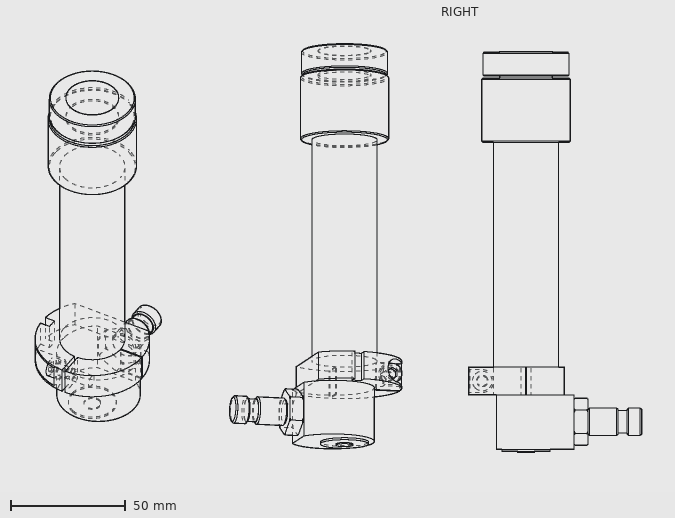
import cadquery as cq
import math

total_height = 174.6
foot_step = 0.5
drum_bottom = 1.4
clamp_bottom = 25.1
clamp_height = 12.0
clamp_top = clamp_bottom + clamp_height
housing_bottom = 135.1
housing_top = 163.0
cap_bottom = 164.0
disc_rise = 0.2
cap_top = total_height - disc_rise

tube_diameter = 28.5
housing_diameter = 38.5
cap_diameter = 37.5
neck_diameter = 23.0
head_chamfer = 0.5
foot_diameter = 21.0
foot_boss_diameter = 7.3

drum_diameter = 36.5
drum_offset = 5.4
drum_flat_y = 21.0

clamp_diameter = 50.0
clamp_radius = clamp_diameter / 2
clamp_flat_y = 16.8
front_slit_width = 1.5
side_slit_width = 0.5
hinge_slot_width = 4.2
hinge_slot_end = -20.3

screw_y = -19.0
screw_z = clamp_bottom + clamp_height / 2
screw_pocket_width = 10.0
screw_seat_x = -5.0
screw_head_diameter = 8.5
screw_head_length = 4.7
screw_shank_diameter = 5.0
screw_end_x = 10.5
socket_flats = 4.2
socket_depth = 2.6

connector_z = 13.5
hex_flats = 17.8
hex_chamfer = 0.5
hex_end_y = 27.0
plug_diameter = 12.0
plug_groove_diameter = 10.0
plug_chamfer = 0.7
groove_start_y = 40.2
groove_end_y = 44.0
connector_end_y = 50.5


def hex_corners(flats):
    """Corner-to-corner size of a hexagon."""
    return flats / math.cos(math.pi / 6)


def upright_cylinder(diameter, bottom, top, y=0.0):
    return cq.Workplane("XY", origin=(0, y, bottom)).circle(diameter / 2).extrude(top - bottom)


def x_cylinder(diameter, start_x, end_x):
    """Cylinder on the screw axis."""
    plane = cq.Workplane("YZ", origin=(start_x, screw_y, screw_z))
    return plane.circle(diameter / 2).extrude(end_x - start_x)


def y_cylinder(diameter, start_y, end_y):
    """Cylinder on the connector axis."""
    plane = cq.Workplane("XZ", origin=(0, start_y, connector_z))
    return plane.circle(diameter / 2).extrude(start_y - end_y)


def box_between(x_range, y_range, z_range):
    sides = [high - low for low, high in (x_range, y_range, z_range)]
    corner = (x_range[0], y_range[0], z_range[0])
    return cq.Workplane("XY").box(*sides, centered=False).translate(corner)


def make_column():
    """Tube with its upper housing and the cap on a narrow neck."""
    tube = upright_cylinder(tube_diameter, clamp_bottom, housing_top)
    housing = upright_cylinder(housing_diameter, housing_bottom, housing_top).edges().chamfer(head_chamfer)
    cap = upright_cylinder(cap_diameter, cap_bottom, cap_top).edges().chamfer(head_chamfer)
    neck = upright_cylinder(neck_diameter, housing_bottom, total_height)
    return tube.union(housing).union(neck).union(cap)


def make_drum():
    """Eccentric drum with a flat for the connector and a stepped foot below."""
    drum = upright_cylinder(drum_diameter, drum_bottom, clamp_bottom, drum_offset)
    beyond_flat = box_between(
        (-drum_diameter, drum_diameter), (drum_flat_y, drum_flat_y + drum_diameter), (0, clamp_bottom)
    )
    foot = upright_cylinder(foot_diameter, foot_step, drum_bottom)
    foot_boss = upright_cylinder(foot_boss_diameter, 0, drum_bottom)
    return drum.cut(beyond_flat).union(foot).union(foot_boss)


def make_connector():
    """Hexagon nut and grooved plug."""
    nut_length = hex_end_y - drum_flat_y
    nut = (
        cq.Workplane("XZ", origin=(0, drum_flat_y, connector_z))
        .polygon(6, hex_corners(hex_flats))
        .extrude(-nut_length)
        .rotate((0, 0, connector_z), (0, 1, connector_z), 30)
    )
    rounding = y_cylinder(hex_corners(hex_flats), drum_flat_y, hex_end_y).edges().chamfer(hex_chamfer)
    nut = nut.intersect(rounding)
    core = y_cylinder(plug_groove_diameter, drum_flat_y, connector_end_y)
    shank = y_cylinder(plug_diameter, hex_end_y, groove_start_y).edges().chamfer(plug_chamfer)
    tip = y_cylinder(plug_diameter, groove_end_y, connector_end_y).edges().chamfer(plug_chamfer)
    return nut.union(core).union(shank).union(tip)


def make_clamp():
    """Flat-backed ring, slit on two sides, slotted on the third and pocketed for its screw."""
    heights = (clamp_bottom, clamp_top)
    ring = upright_cylinder(clamp_diameter, *heights)
    beyond_flat = box_between((-clamp_radius, clamp_radius), (clamp_flat_y, clamp_radius), heights)
    front_slit = box_between((-front_slit_width / 2, front_slit_width / 2), (-clamp_radius, 0), heights)
    side_slit = box_between((0, clamp_radius), (-side_slit_width / 2, side_slit_width / 2), heights)
    hinge_slot = box_between(
        (-clamp_radius, hinge_slot_end), (-hinge_slot_width / 2, hinge_slot_width / 2), heights
    )
    pocket_bore = x_cylinder(screw_pocket_width, -clamp_radius, screw_seat_x)
    pocket_mouth = box_between(
        (-clamp_radius, screw_seat_x),
        (-clamp_radius, screw_y),
        (screw_z - screw_pocket_width / 2, screw_z + screw_pocket_width / 2),
    )
    shank_hole = x_cylinder(screw_shank_diameter, screw_seat_x, screw_end_x)
    for opening in (beyond_flat, front_slit, side_slit, hinge_slot, pocket_bore, pocket_mouth, shank_hole):
        ring = ring.cut(opening)
    return ring


def make_sensor():
    """Column, drum, connector and clamp as one body."""
    return make_clamp().union(make_column()).union(make_drum()).union(make_connector())


def make_screw():
    """Socket-head clamp screw."""
    head_x = screw_seat_x - screw_head_length
    head = x_cylinder(screw_head_diameter, head_x, screw_seat_x)
    shank = x_cylinder(screw_shank_diameter, screw_seat_x, screw_end_x)
    socket = (
        cq.Workplane("YZ", origin=(head_x, screw_y, screw_z))
        .transformed(rotate=(0, 0, 30))
        .polygon(6, hex_corners(socket_flats))
        .extrude(socket_depth)
    )
    return head.union(shank).cut(socket)


sensor = make_sensor()
screw = make_screw()

result = cq.Compound.makeCompound([sensor.val(), screw.val()])